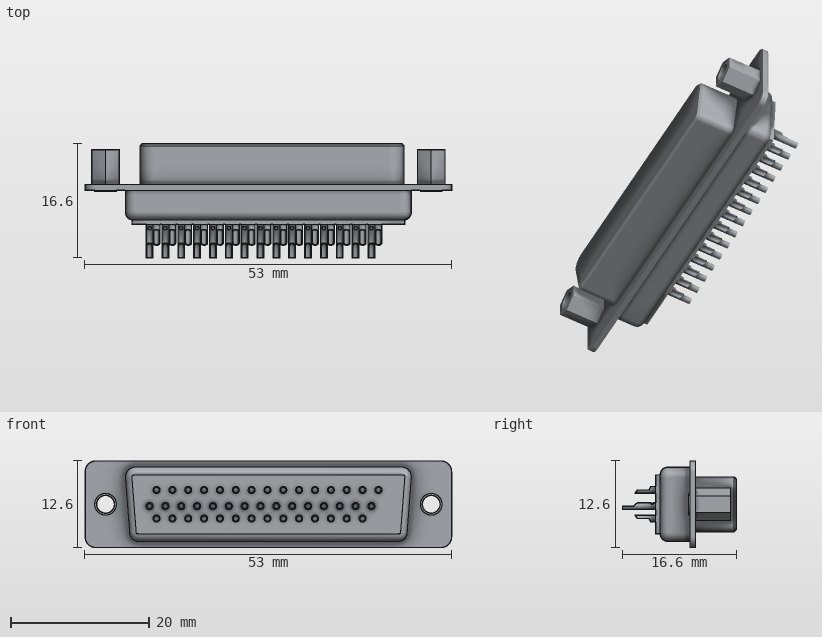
import cadquery as cq
import math


FLANGE_WIDTH = 53.05
FLANGE_HEIGHT = 12.55
FLANGE_THICKNESS = 0.85
FLANGE_CORNER_RADIUS = 1.6

MOUNT_OFFSET = 23.55
MOUNT_HOLE_DIAMETER = 2.55
RING_DIAMETER = 3.15
RING_HEIGHT = 0.15
NUT_ACROSS_FLATS = 4.05
NUT_LENGTH = 5.05

SHELL_TOP_WIDTH = 39.0
SHELL_HEIGHT = 7.95
SHELL_LENGTH = 5.9
SHELL_SHIFT = 0.55
SHELL_SIDE_ANGLE = 10.0
SHELL_TOP_RADIUS = 2.0
SHELL_BOTTOM_RADIUS = 1.05
SHELL_END_CHAMFER = 0.3

BODY_TOP_WIDTH = 41.6
BODY_HEIGHT = 10.75
BODY_LENGTH = 4.3
BODY_SIDE_ANGLE = 4.4
BODY_TOP_RADIUS = 1.45
BODY_BOTTOM_RADIUS = 1.25
BODY_END_FILLET = 1.1

INSULATOR_PROJECTION = 0.65
INSULATOR_TOP_RADIUS = BODY_TOP_RADIUS - BODY_END_FILLET
INSULATOR_BOTTOM_RADIUS = BODY_BOTTOM_RADIUS - BODY_END_FILLET

ROW_LENGTH = 32.1
PIN_DIAMETER = 1.0
CUP_BORE_DIAMETER = 0.75
OUTER_ROW_HEIGHT = 2.05
OUTER_ROW_START = -16.2
MIDDLE_ROW_HEIGHT = -0.25
MIDDLE_ROW_START = -17.2
TOP_ROW_COUNT = 15
MIDDLE_ROW_COUNT = 15
BOTTOM_ROW_COUNT = 14
OUTER_CUP_LENGTH = 3.0
OUTER_STUB_LENGTH = 0.95
OUTER_STUB_SLANT = 0.2
OUTER_TIP_SLANT = 0.35
MIDDLE_CUP_LENGTH = 4.85
MIDDLE_STUB_LENGTH = 3.2
MIDDLE_STUB_SLANT = 0.55
VENT_DIAMETER = 0.55
VENT_OFFSET = 0.55

INSULATOR_FACE = -(BODY_LENGTH + INSULATOR_PROJECTION)
PIN_PITCH = ROW_LENGTH / (TOP_ROW_COUNT - 1)
HEX_HALF_ANGLE = 180 / 6
PIN_RADIUS = PIN_DIAMETER / 2


def plane_at(y):
    """Plane facing +Y, with local x along +X and local y along -Z."""
    return cq.Workplane(cq.Plane(origin=(0, y, 0), xDir=(1, 0, 0), normal=(0, 1, 0)))


def d_prism(y, length, top_width, height, side_angle, top_radius, bottom_radius, shift=0.0):
    """D-shaped prism running toward +Y from y, wider at the top, with rounded corners."""
    top_half = top_width / 2
    bottom_half = top_half - height * math.tan(math.radians(side_angle))
    prism = (
        plane_at(y)
        .polyline(
            [
                (shift - top_half, -height / 2),
                (shift + top_half, -height / 2),
                (shift + bottom_half, height / 2),
                (shift - bottom_half, height / 2),
            ]
        )
        .close()
        .extrude(length)
    )
    prism = prism.edges("|Y").edges(">Z").fillet(top_radius)
    return prism.edges("|Y").edges("<Z").fillet(bottom_radius)


def make_flange():
    plate = plane_at(0).rect(FLANGE_WIDTH, FLANGE_HEIGHT).extrude(FLANGE_THICKNESS)
    return plate.edges("|Y").fillet(FLANGE_CORNER_RADIUS)


def make_shell():
    shell = d_prism(
        FLANGE_THICKNESS, SHELL_LENGTH, SHELL_TOP_WIDTH, SHELL_HEIGHT, SHELL_SIDE_ANGLE,
        SHELL_TOP_RADIUS, SHELL_BOTTOM_RADIUS, SHELL_SHIFT,
    )
    return shell.faces(">Y").edges().chamfer(SHELL_END_CHAMFER)


def make_body():
    body = d_prism(
        -BODY_LENGTH, BODY_LENGTH, BODY_TOP_WIDTH, BODY_HEIGHT, BODY_SIDE_ANGLE,
        BODY_TOP_RADIUS, BODY_BOTTOM_RADIUS,
    )
    return body.faces("<Y").edges().fillet(BODY_END_FILLET)


def make_insulator():
    """Slab that continues the flat end of the body, inside its rounded rim."""
    lean = math.radians(BODY_SIDE_ANGLE)
    corner_inset = BODY_END_FILLET * (1 / math.cos(lean) - math.tan(lean))
    return d_prism(
        INSULATOR_FACE, INSULATOR_PROJECTION, BODY_TOP_WIDTH - 2 * corner_inset,
        BODY_HEIGHT - 2 * BODY_END_FILLET, BODY_SIDE_ANGLE,
        INSULATOR_TOP_RADIUS, INSULATOR_BOTTOM_RADIUS,
    )


def make_nut(x):
    """Hexagonal jack nut with two corners pointing up and down, plus its ring on the solder side."""
    across_corners = NUT_ACROSS_FLATS / math.cos(math.radians(HEX_HALF_ANGLE))
    nut = (
        plane_at(FLANGE_THICKNESS)
        .polygon(6, across_corners)
        .extrude(NUT_LENGTH)
        .rotate((0, 0, 0), (0, 1, 0), HEX_HALF_ANGLE)
    )
    ring = plane_at(-RING_HEIGHT).circle(RING_DIAMETER / 2).extrude(RING_HEIGHT)
    return nut.union(ring).translate((x, 0, 0))


def make_cup(length, tip_slant, stub_length, stub_slant):
    """Bored solder cup whose upper half stops short, pointing toward -Y from the insulator."""
    side_profile = [
        (0, PIN_RADIUS),
        (-(stub_length - stub_slant), PIN_RADIUS),
        (-stub_length, 0),
        (-(length - tip_slant), 0),
        (-length, -PIN_RADIUS),
        (0, -PIN_RADIUS),
    ]
    envelope = cq.Workplane("YZ").polyline(side_profile).close().extrude(PIN_RADIUS, both=True)
    tube = plane_at(-length).circle(PIN_RADIUS).circle(CUP_BORE_DIAMETER / 2).extrude(length)
    return tube.intersect(envelope).translate((0, INSULATOR_FACE, 0))


def make_middle_cup():
    """Long cup with a vent hole through the top of its wall, near the insulator."""
    cup = make_cup(MIDDLE_CUP_LENGTH, 0.0, MIDDLE_STUB_LENGTH, MIDDLE_STUB_SLANT)
    vent = (
        cq.Workplane("XY")
        .center(0, INSULATOR_FACE - VENT_OFFSET)
        .circle(VENT_DIAMETER / 2)
        .extrude(PIN_DIAMETER)
    )
    return cup.cut(vent)


def make_row(cup, count, start, height):
    return [cup.translate((start + i * PIN_PITCH, 0, height)) for i in range(count)]


top_cup = make_cup(OUTER_CUP_LENGTH, OUTER_TIP_SLANT, OUTER_STUB_LENGTH, OUTER_STUB_SLANT)
bottom_cup = top_cup.mirror("XY")
cups = make_row(top_cup, TOP_ROW_COUNT, OUTER_ROW_START, OUTER_ROW_HEIGHT)
cups += make_row(make_middle_cup(), MIDDLE_ROW_COUNT, MIDDLE_ROW_START, MIDDLE_ROW_HEIGHT)
cups += make_row(bottom_cup, BOTTOM_ROW_COUNT, OUTER_ROW_START, -OUTER_ROW_HEIGHT)

result = make_flange().union(make_shell()).union(make_body()).union(make_insulator())
for mount_x in (-MOUNT_OFFSET, MOUNT_OFFSET):
    result = result.union(make_nut(mount_x))

mount_holes = (
    plane_at(-RING_HEIGHT)
    .pushPoints([(-MOUNT_OFFSET, 0), (MOUNT_OFFSET, 0)])
    .circle(MOUNT_HOLE_DIAMETER / 2)
    .extrude(RING_HEIGHT + FLANGE_THICKNESS + NUT_LENGTH)
)
result = result.cut(mount_holes)

for cup in cups:
    result = result.union(cup)